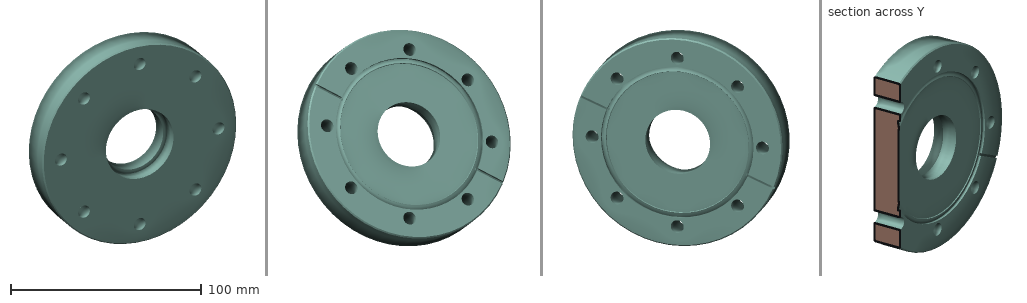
import cadquery as cq

outer_diameter = 113.5
thickness = 17.3
rim_chamfer = 0.7

bore_diameter = 35.0
socket_diameter = 39.5
bore_length = 8.5

recess_diameter = 82.4
recess_depth = 1.6
knife_diameter = 77.2
knife_depth = 0.6
floor_diameter = 76.8
floor_depth = 1.0

bolt_count = 8
bolt_diameter = 6.9
bolt_circle_diameter = 92.1
bolt_spacing = 360 / bolt_count

groove_width = 1.4
groove_depth = 1.4
groove_angles = (bolt_spacing / 2, bolt_spacing / 2 + 180)


def make_body():
    """Revolve the ring section, given as (x, radius) points, about X."""
    rim = outer_diameter / 2
    bore = bore_diameter / 2
    socket = socket_diameter / 2
    section = [
        (floor_depth, bore),
        (floor_depth, floor_diameter / 2),
        (knife_depth, knife_diameter / 2),
        (recess_depth, recess_diameter / 2),
        (0, recess_diameter / 2),
        (0, rim - rim_chamfer),
        (rim_chamfer, rim),
        (thickness - rim_chamfer, rim),
        (thickness, rim - rim_chamfer),
        (thickness, socket),
        (floor_depth + bore_length, socket),
        (floor_depth + bore_length, bore),
    ]
    return cq.Workplane("XY").polyline(section).close().revolve(360, (0, 0), (1, 0))


def make_bolt_holes():
    return (
        cq.Workplane("YZ")
        .polarArray(bolt_circle_diameter / 2, 0, 360, bolt_count)
        .circle(bolt_diameter / 2)
        .extrude(thickness)
    )


def make_leak_groove(angle):
    """Cutter running outward from inside the recess; angle is from +Y toward +Z."""
    inner_radius = knife_diameter / 2 + groove_width
    return (
        cq.Workplane("XY")
        .box(groove_depth, outer_diameter / 2, groove_width, centered=(False, False, True))
        .translate((0, inner_radius, 0))
        .rotate((0, 0, 0), (1, 0, 0), angle)
    )


result = make_body().cut(make_bolt_holes())
for groove_angle in groove_angles:
    result = result.cut(make_leak_groove(groove_angle))